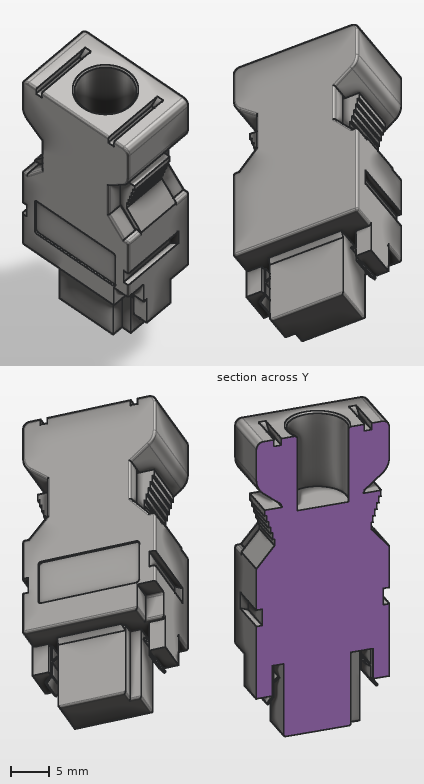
import cadquery as cq
import math


length = 43.8
width = 18.8
depth = 12.0
half_width = width / 2
half_depth = depth / 2
body_bottom = 10.7

waist_half_width = 5.9
waist_top = 34.1
waist_bottom = 28.3
shelf_z = 25.3
shelf_half_width = 8.55
head_side_bottom = 38.2
head_top_radius = 1.0
head_flank_angle = math.radians(39)
edge_radius = 0.3
heavy_edge_radius = 0.4

cable_hole_radius = 4.07
cable_hole_depth = 10.95
cable_hole_chamfer = 0.25
top_groove_inner_x = 5.85
top_groove_width = 1.0
top_groove_depth = 0.95
top_groove_end = 3.7
top_groove_ramp = 1.2

side_groove_bottom = 16.9
side_groove_top = 19.25
side_groove_depth = 0.85
side_groove_end = 3.9

grip_half_depth = 3.45
grip_top = 33.73
grip_top_half_width = 8.25
grip_step_count = 6
grip_bottom_half_width = 6.85
grip_seat_depth = 0.88
arm_half_depth = 2.35
arm_bottom = 6.25
arm_inner_x = 7.1

strip_thickness = 0.25
strip_half_depth = 1.7
strip_bend_z = 6.1
strip_tip_x = 7.75
strip_tip_z = 5.12
barb_root_z = 8.15
barb_tip_x = 6.1
barb_tip_z = 8.8

label_width = 14.3
label_bottom = 14.8
label_top = 21.35
label_depth = 0.3
label_corner_radius = 0.5
notch_inner_x = 6.88
notch_top = 14.5

plug_half_width = 5.5
plug_half_depth = 2.95
plug_step_x = 4.0
plug_step_depth = 1.75
flare_height = 0.88
flare_out = 0.415

notch_depth = half_depth - plug_half_depth
seat_bottom = shelf_z - heavy_edge_radius
join_overlap = 0.45


def box(x0, x1, y0, y1, z0, z1):
    """Box between two opposite corners."""
    return cq.Workplane("XY").box(x1 - x0, y1 - y0, z1 - z0, centered=False).translate((x0, y0, z0))


def prism_along_y(points, y0, y1):
    """Closed XZ polygon extruded from y0 to y1."""
    return cq.Workplane("XZ", origin=(0, y0, 0)).polyline(points).close().extrude(y0 - y1)


def prism_along_x(points, x0, x1):
    """Closed YZ polygon extruded from x0 to x1."""
    return cq.Workplane("YZ", origin=(x0, 0, 0)).polyline(points).close().extrude(x1 - x0)


def both_sides(shape):
    """The shape together with its mirror image across the YZ plane."""
    return shape.union(shape.mirror("YZ"))


def housing_half():
    """The +X half of the hourglass housing, with sharp front and back edges."""
    flank_corner_z = waist_top + (half_width - waist_half_width) * math.tan(head_flank_angle)
    flank_turn = math.pi / 2 - head_flank_angle
    tangent = head_side_bottom - flank_corner_z
    flank_radius = tangent / math.tan(flank_turn / 2)
    flank_end = (
        half_width - tangent * math.cos(head_flank_angle),
        flank_corner_z - tangent * math.sin(head_flank_angle),
    )
    flank_mid = (
        half_width - flank_radius * (1 - math.cos(flank_turn / 2)),
        head_side_bottom - flank_radius * math.sin(flank_turn / 2),
    )
    diagonal = 1 - math.sqrt(0.5)
    return (
        cq.Workplane("XZ", origin=(0, half_depth, 0))
        .moveTo(0, body_bottom)
        .lineTo(half_width, body_bottom)
        .lineTo(half_width, shelf_z - heavy_edge_radius)
        .threePointArc(
            (half_width - heavy_edge_radius * diagonal, shelf_z - heavy_edge_radius * diagonal),
            (half_width - heavy_edge_radius, shelf_z),
        )
        .lineTo(shelf_half_width, shelf_z)
        .lineTo(waist_half_width, waist_bottom)
        .lineTo(waist_half_width, waist_top)
        .lineTo(*flank_end)
        .threePointArc(flank_mid, (half_width, head_side_bottom))
        .lineTo(half_width, length - head_top_radius)
        .threePointArc(
            (half_width - head_top_radius * diagonal, length - head_top_radius * diagonal),
            (half_width - head_top_radius, length),
        )
        .lineTo(0, length)
        .close()
        .extrude(depth)
    )


def grip_seat():
    """Cutter for the +X opening in the waist that the grip fills."""
    floor_x = waist_half_width - grip_seat_depth
    return box(floor_x, half_width, -grip_half_depth, grip_half_depth, seat_bottom, grip_top)


def grip():
    """The +X grip: a slope rising from the housing side, then a staircase widening upwards."""
    floor_x = waist_half_width - grip_seat_depth
    step_height = (grip_top - waist_bottom) / grip_step_count
    step_width = (grip_top_half_width - grip_bottom_half_width) / (grip_step_count - 1)
    outline = [(half_width, seat_bottom), (floor_x, seat_bottom), (floor_x, grip_top)]
    for step in range(grip_step_count):
        step_x = grip_top_half_width - step * step_width
        step_top = grip_top - step * step_height
        outline += [(step_x, step_top), (step_x, step_top - step_height)]
    outline.append((half_width, shelf_z))
    return prism_along_y(outline, -grip_half_depth, grip_half_depth)


def round_seat_rims(body):
    """Round the waist and slope rims of both grip openings."""
    waist_middle = (waist_half_width, (waist_bottom + grip_top) / 2)
    slope_middle = ((waist_half_width + shelf_half_width) / 2, (waist_bottom + shelf_z) / 2)
    rim_points = [(waist_half_width, 0, grip_top)]
    for x, z in (waist_middle, slope_middle):
        rim_points += [(x, -grip_half_depth, z), (x, grip_half_depth, z)]
    for side in (-1, 1):
        selectors = [cq.NearestToPointSelector((side * x, y, z)) for x, y, z in rim_points]
        edges = [body.edges(selector).val() for selector in selectors]
        body = body.newObject(edges).fillet(edge_radius)
    return body


def corner_notch():
    """Cutter for the notch at the front lower +X corner, its ceiling rounded into its back wall."""
    notch = box(
        notch_inner_x, half_width + join_overlap,
        -half_depth - join_overlap, -half_depth + notch_depth,
        body_bottom - join_overlap, notch_top,
    )
    return notch.edges("|X and >Y and >Z").fillet(edge_radius)


def housing():
    """Hourglass housing with its corner notch, grip seats and rounded edges."""
    body = both_sides(housing_half()).clean()
    body = body.faces("<Y or >Y").edges("not <Z").fillet(edge_radius)
    body = body.cut(corner_notch())
    body = body.faces("<Z").edges().fillet(heavy_edge_radius)
    return round_seat_rims(body.cut(both_sides(grip_seat())))


def cable_hole():
    """Cutter for the blind cable hole with a chamfered mouth."""
    mouth_radius = cable_hole_radius + cable_hole_chamfer
    return (
        cq.Workplane("XZ")
        .moveTo(0, length - cable_hole_depth)
        .lineTo(cable_hole_radius, length - cable_hole_depth)
        .lineTo(cable_hole_radius, length - cable_hole_chamfer)
        .lineTo(mouth_radius, length)
        .lineTo(0, length)
        .close()
        .revolve(360, (0, 0, 0), (0, 1, 0))
    )


def top_groove():
    """Cutter for the +X top groove, open at the front with a ramp at its rear end."""
    profile = [
        (-half_depth, length),
        (-half_depth, length - top_groove_depth),
        (top_groove_end - top_groove_ramp, length - top_groove_depth),
        (top_groove_end, length),
    ]
    return prism_along_x(profile, top_groove_inner_x, top_groove_inner_x + top_groove_width)


def side_groove():
    """Cutter for the +X side groove, open at the front with a 45 degree ramp at its rear end."""
    floor_x = half_width - side_groove_depth
    profile = [
        (half_width, -half_depth),
        (floor_x, -half_depth),
        (floor_x, side_groove_end - side_groove_depth),
        (half_width, side_groove_end),
    ]
    height = side_groove_top - side_groove_bottom
    return cq.Workplane("XY", origin=(0, 0, side_groove_bottom)).polyline(profile).close().extrude(height)


def label_recess():
    """Cutter for the shallow label recess in the front face."""
    recess = box(
        -label_width / 2, label_width / 2,
        -half_depth, -half_depth + label_depth,
        label_bottom, label_top,
    )
    return recess.edges("|Y").fillet(label_corner_radius)


def bent_strip(x0, z0, x1, z1):
    """Straight length of spring strip whose centre line runs from (x0, z0) to (x1, z1)."""
    run = math.hypot(x1 - x0, z1 - z0)
    side_x = strip_thickness / 2 * (z0 - z1) / run
    side_z = strip_thickness / 2 * (x1 - x0) / run
    outline = [
        (x0 + side_x, z0 + side_z),
        (x1 + side_x, z1 + side_z),
        (x1 - side_x, z1 - side_z),
        (x0 - side_x, z0 - side_z),
    ]
    return prism_along_y(outline, -strip_half_depth, strip_half_depth)


def latch_arm():
    """The +X arm below the housing with its spring strip, bent outwards at the tip, and inward barb."""
    arm_top = body_bottom + heavy_edge_radius + join_overlap
    strip_x = arm_inner_x - strip_thickness / 2
    arm = box(arm_inner_x, half_width, -arm_half_depth, arm_half_depth, arm_bottom, arm_top)
    strip = box(
        arm_inner_x - strip_thickness, arm_inner_x,
        -strip_half_depth, strip_half_depth,
        strip_bend_z, arm_top,
    )
    tip = bent_strip(strip_x, strip_bend_z, strip_tip_x, strip_tip_z)
    barb = bent_strip(strip_x, barb_root_z, barb_tip_x, barb_tip_z)
    return arm.union(strip).union(tip).union(barb)


def plug():
    """Plug blade with a set-back front +X corner and flared feet where it meets the housing."""
    flare_bottom = body_bottom - flare_height
    blade = box(
        -plug_half_width, plug_half_width,
        -plug_half_depth, plug_half_depth,
        0, body_bottom + join_overlap,
    )
    corner = box(
        plug_step_x, plug_half_width,
        -plug_half_depth, -plug_half_depth + plug_step_depth,
        0, body_bottom,
    )
    flare = prism_along_x(
        [
            (-plug_half_depth, flare_bottom),
            (plug_half_depth, flare_bottom),
            (plug_half_depth + flare_out, body_bottom),
            (-plug_half_depth - flare_out, body_bottom),
        ],
        -plug_half_width, plug_half_width,
    )
    flare_trim = prism_along_y(
        [
            (plug_step_x, flare_bottom),
            (plug_half_width, flare_bottom),
            (plug_half_width, body_bottom),
            (plug_step_x - flare_out, body_bottom),
        ],
        -half_depth, -plug_half_depth + plug_step_depth,
    )
    blade = blade.cut(corner).faces("<Z").edges().fillet(edge_radius)
    return blade.union(flare.cut(flare_trim))


result = housing()
result = result.cut(cable_hole()).cut(label_recess())
result = result.cut(both_sides(top_groove())).cut(both_sides(side_groove()))
result = result.union(both_sides(grip())).union(both_sides(latch_arm())).union(plug())